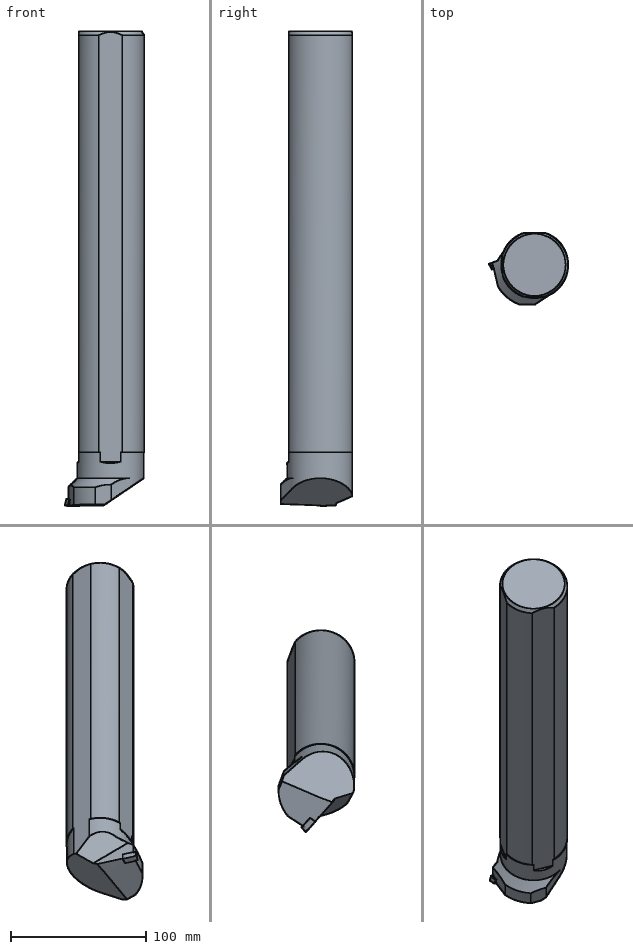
import cadquery as cq
import math


TOTAL_HEIGHT = 351.5
SHANK_RADIUS = 25.0
SHANK_BOTTOM = 40.0
TOP_CHAMFER_DEPTH = 2.0
TOP_CHAMFER_HEIGHT = 3.0

FLAT_DISTANCE = 23.5
FLAT_BOTTOM = 33.0
FLAT_TURNS = (0, 90)

LONG_FLAT_DISTANCE = 23.65

NECK_RADIUS = 24.67
NECK_BOTTOM = 20.8

HEAD_BOTTOM = 0.5
BOTTOM_TILT = 2.0
HEAD_DEPTH = 52.99
HEAD_FRONT = LONG_FLAT_DISTANCE - HEAD_DEPTH
CONE_RADIUS = 31.5
NOSE_CORNER = (-31.2, 1.7)
SIDE_ARC_START = (-27.1, -16.0)
SIDE_ARC_RADIUS = math.hypot(*SIDE_ARC_START)
FRONT_FLAT_END_X = 0.4
BLEND_END_X = 13.9
BACK_TANGENT_ANGLE = 130.0

RELIEF_START_X = -5.2

RAKE_ANGLE = 20.0
BACK_FACE_POINT = (RELIEF_START_X, 7.8, HEAD_BOTTOM)
BACK_FACE_NORMAL = (-0.57, 0.61, -0.56)

INSERT_TIP_X = -33.86
INSERT_LENGTH = 11.0
INSERT_HEIGHT = 5.5
INSERT_THICKNESS = 4.8
INSERT_LEAN = 1.2
INSERT_TIP_RISE = 0.6
INSERT_FLAT_START = 3.0
INSERT_RELIEF_ANGLE = 7.0

BLOCK = 120.0


def polar_point(radius, angle):
    return (radius * math.cos(angle), radius * math.sin(angle))


def make_shank():
    height = TOTAL_HEIGHT - SHANK_BOTTOM
    shank = cq.Workplane("XY", origin=(0, 0, SHANK_BOTTOM)).circle(SHANK_RADIUS).extrude(height)
    return shank.faces(">Z").chamfer(TOP_CHAMFER_HEIGHT, TOP_CHAMFER_DEPTH)


def make_neck():
    height = SHANK_BOTTOM - NECK_BOTTOM
    return cq.Workplane("XY", origin=(0, 0, NECK_BOTTOM)).circle(NECK_RADIUS).extrude(height)


def make_flat_cutter(turn):
    """Waste outside the -X flat, turned about the bar axis."""
    reach = SHANK_RADIUS
    outer = -FLAT_DISTANCE - reach
    profile = [
        (-FLAT_DISTANCE, FLAT_BOTTOM),
        (-FLAT_DISTANCE, TOTAL_HEIGHT),
        (outer, TOTAL_HEIGHT),
        (outer, FLAT_BOTTOM - reach),
    ]
    cutter = cq.Workplane("XZ").polyline(profile).close().extrude(SHANK_RADIUS, both=True)
    return cutter.rotate((0, 0, 0), (0, 0, 1), turn)


def make_long_flat_cutter():
    """Waste beyond the +Y flat over the whole height."""
    return (
        cq.Workplane("XY", origin=(0, LONG_FLAT_DISTANCE, 0))
        .rect(BLOCK, BLOCK)
        .extrude(TOTAL_HEIGHT)
        .translate((0, BLOCK / 2, 0))
    )


def make_head_blank():
    """Upright head outline, limited from above by the cone."""
    arc_end = (-math.sqrt(SIDE_ARC_RADIUS**2 - HEAD_FRONT**2), HEAD_FRONT)
    middle_angle = math.atan2(SIDE_ARC_START[1] + arc_end[1], SIDE_ARC_START[0] + arc_end[0])
    arc_middle = polar_point(SIDE_ARC_RADIUS, middle_angle)
    blend_end = (BLEND_END_X, -math.sqrt(NECK_RADIUS**2 - BLEND_END_X**2))
    back_angle = math.radians(BACK_TANGENT_ANGLE)
    back_tangent = polar_point(NECK_RADIUS, back_angle)
    back_corner_y = (NECK_RADIUS - NOSE_CORNER[0] * math.cos(back_angle)) / math.sin(back_angle)
    outline = (
        cq.Workplane("XY", origin=(0, 0, HEAD_BOTTOM))
        .moveTo(*NOSE_CORNER)
        .lineTo(*SIDE_ARC_START)
        .threePointArc(arc_middle, arc_end)
        .lineTo(FRONT_FLAT_END_X, HEAD_FRONT)
        .lineTo(*blend_end)
        .threePointArc((NECK_RADIUS, 0), back_tangent)
        .lineTo(NOSE_CORNER[0], back_corner_y)
        .close()
        .extrude(NECK_BOTTOM - HEAD_BOTTOM)
    )
    cone_profile = [
        (0, HEAD_BOTTOM),
        (CONE_RADIUS, HEAD_BOTTOM),
        (CONE_RADIUS, NECK_BOTTOM - (CONE_RADIUS - NECK_RADIUS)),
        (NECK_RADIUS, NECK_BOTTOM),
        (0, NECK_BOTTOM),
    ]
    cone = cq.Workplane("XZ").polyline(cone_profile).close().revolve(360, (0, 0), (0, 1))
    return outline.intersect(cone)


def make_bottom_relief():
    """Waste below the head bottom, which rises slightly from the nose corner towards -Y."""
    cutter = cq.Workplane("XY").rect(BLOCK, BLOCK).extrude(-BLOCK)
    cutter = cutter.rotate((0, 0, 0), (1, 0, 0), -BOTTOM_TILT)
    return cutter.translate((0, NOSE_CORNER[1], HEAD_BOTTOM))


def make_back_relief():
    """Waste below the sloping plane on the +X side."""
    profile = [
        (RELIEF_START_X, HEAD_BOTTOM),
        (NECK_RADIUS, NECK_BOTTOM),
        (BLOCK, NECK_BOTTOM),
        (BLOCK, HEAD_BOTTOM),
    ]
    return cq.Workplane("XZ").polyline(profile).close().extrude(BLOCK / 2, both=True)


def rake_plane(x, z):
    """Plane through a point of the rake face: local X runs along the face, local Y points up."""
    angle = math.radians(RAKE_ANGLE)
    y = NOSE_CORNER[1] + (x - NOSE_CORNER[0]) * math.tan(angle)
    return cq.Plane(
        origin=(x, y, z),
        xDir=(math.cos(angle), math.sin(angle), 0),
        normal=(math.sin(angle), -math.cos(angle), 0),
    )


def make_chip_pocket():
    """Waste behind the rake face and outside the leaning back face."""
    behind_rake = cq.Workplane(rake_plane(NOSE_CORNER[0], HEAD_BOTTOM)).rect(BLOCK, BLOCK).extrude(-BLOCK)
    back_plane = cq.Plane(origin=BACK_FACE_POINT, normal=BACK_FACE_NORMAL)
    outside_back = cq.Workplane(back_plane).rect(BLOCK, BLOCK).extrude(BLOCK)
    return behind_rake.intersect(outside_back)


def make_insert():
    """Plate that narrows away from the rake face."""
    outline = [
        (0, INSERT_TIP_RISE),
        (INSERT_LEAN, INSERT_HEIGHT),
        (INSERT_LENGTH, INSERT_HEIGHT),
        (INSERT_LENGTH, 0),
        (INSERT_FLAT_START, 0),
    ]
    plate = cq.Workplane(rake_plane(INSERT_TIP_X, 0)).polyline(outline).close()
    return plate.extrude(INSERT_THICKNESS, taper=INSERT_RELIEF_ANGLE)


insert = make_insert()

bar = make_shank().union(make_neck()).union(make_head_blank())
for turn in FLAT_TURNS:
    bar = bar.cut(make_flat_cutter(turn))
bar = bar.cut(make_long_flat_cutter())
bar = bar.cut(make_bottom_relief()).cut(make_back_relief()).cut(make_chip_pocket()).cut(insert)

result = cq.Compound.makeCompound([bar.val(), insert.val()])